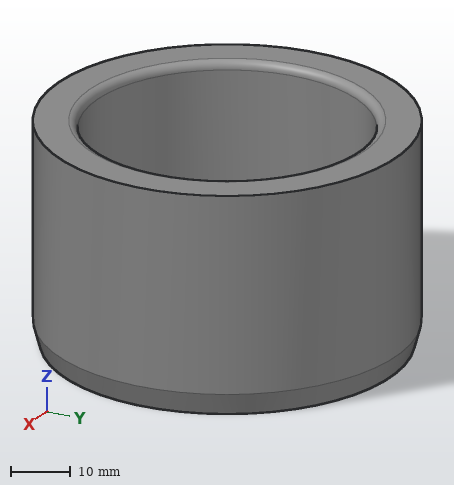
import cadquery as cq
import math

outer_diameter = 65.0
bore_diameter = 50.0
height = 40.0

lead_in_height = 4.0
lead_in_angle = 15.0
lead_in_inset = lead_in_height * math.tan(math.radians(lead_in_angle))

mouth_radius = 1.5


def sleeve_with_lead_in():
    """Revolve the wall section, with the taper at its lower outside corner."""
    outer_radius = outer_diameter / 2
    bore_radius = bore_diameter / 2
    section = (
        cq.Workplane("XZ")
        .moveTo(bore_radius, 0)
        .lineTo(outer_radius - lead_in_inset, 0)
        .lineTo(outer_radius, lead_in_height)
        .lineTo(outer_radius, height)
        .lineTo(bore_radius, height)
        .close()
    )
    return section.revolve(360, (0, 0, 0), (0, 1, 0))


def round_bore_mouth(sleeve):
    """Round the inner circular edge of the top face."""
    bore_edge = cq.selectors.RadiusNthSelector(0)
    return sleeve.faces(">Z").edges(bore_edge).fillet(mouth_radius)


result = round_bore_mouth(sleeve_with_lead_in())